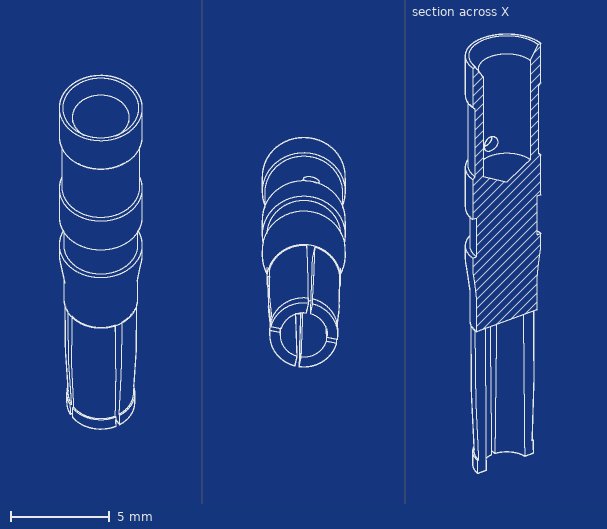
import cadquery as cq

length = 24.25

collar_radius = 4.2 / 2
barrel_radius = 1.96
neck_radius = 1.87
top_collar_height = 2.35
collar_bevel = collar_radius - barrel_radius
middle_collar_bottom = 15.25
middle_collar_top = 17.63
shoulder_top = 12.97
shoulder_edge = 12.12
shoulder_bottom = 10.43
shoulder_foot_radius = 1.9
shoulder_foot = 10.57

tine_root = 8.5
tine_bend = 4.27
tip_band_height = 0.78
tine_root_radius = 1.82
tine_bend_radius = 1.8
tine_waist_radius = 1.65
tip_band_radius = 1.72
contact_bore_radius = 1.2
slot_root_width = 0.41
slot_tip_width = 0.205

socket_radius = 1.43
socket_mouth_radius = 1.92
socket_mouth_depth = 0.78
socket_depth = 6.67
socket_cone_depth = 0.82
inspection_hole_radius = 0.41
inspection_hole_height = 18.28


def make_body():
    """Revolve the stepped outside profile, given as (radius, height)."""
    top_collar_bottom = length - top_collar_height
    profile = [
        (0, 0),
        (tip_band_radius, 0),
        (tip_band_radius, tip_band_height),
        (tine_waist_radius, tip_band_height),
        (tine_bend_radius, tine_bend),
        (tine_root_radius, tine_root),
        (neck_radius, tine_root),
        (neck_radius, shoulder_bottom),
        (shoulder_foot_radius, shoulder_foot),
        (collar_radius, shoulder_edge),
        (collar_radius, shoulder_top),
        (neck_radius, shoulder_top),
        (neck_radius, middle_collar_bottom),
        (collar_radius, middle_collar_bottom),
        (collar_radius, middle_collar_top),
        (barrel_radius, middle_collar_top + collar_bevel),
        (barrel_radius, top_collar_bottom - collar_bevel),
        (collar_radius, top_collar_bottom),
        (collar_radius, length),
        (0, length),
    ]
    return cq.Workplane("XZ").polyline(profile).close().revolve(360, (0, 0), (0, 1))


def make_socket():
    """Blind wire socket with a flared mouth and a drilled, conical floor."""
    floor = length - socket_depth
    profile = [
        (0, floor - socket_cone_depth),
        (socket_radius, floor),
        (socket_radius, length - socket_mouth_depth),
        (socket_mouth_radius, length),
        (0, length),
    ]
    return cq.Workplane("XZ").polyline(profile).close().revolve(360, (0, 0), (0, 1))


def make_inspection_hole():
    """Radial hole through the -X wall into the socket."""
    return (
        cq.Workplane("YZ")
        .center(0, inspection_hole_height)
        .circle(inspection_hole_radius)
        .extrude(-collar_radius)
    )


def make_slot(plane):
    """Slot across the contact end, narrowing toward the tine tips."""
    outline = [
        (-slot_tip_width / 2, 0),
        (slot_tip_width / 2, 0),
        (slot_root_width / 2, tine_root),
        (-slot_root_width / 2, tine_root),
    ]
    return cq.Workplane(plane).polyline(outline).close().extrude(collar_radius, both=True)


contact_bore = cq.Workplane("XY").circle(contact_bore_radius).extrude(tine_root)

result = make_body().cut(make_socket()).cut(make_inspection_hole()).cut(contact_bore)
for slot_plane in ("XZ", "YZ"):
    result = result.cut(make_slot(slot_plane))